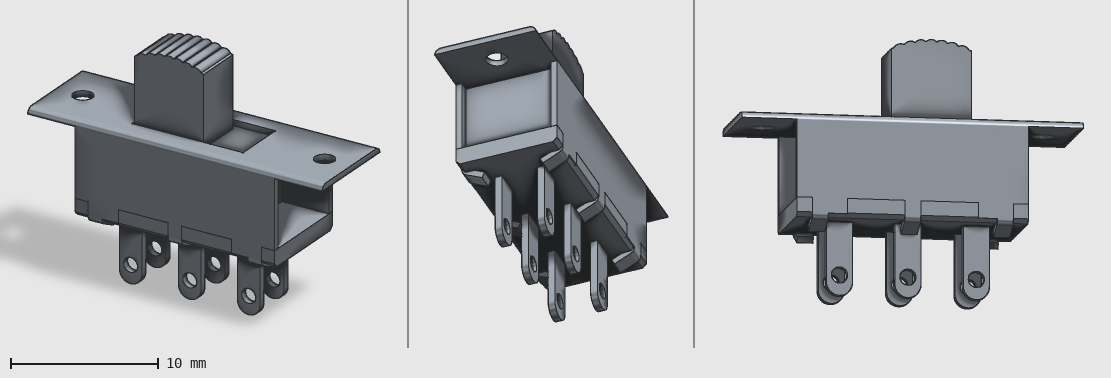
import cadquery as cq
import math


sheet = 0.45
bend_radius = 0.5
plate_length = 23.45
width = 7.4
mount_hole_dia = 1.5
mount_hole_pitch = 19.25
slot_length = 8.85
slot_width = 4.15

housing_length = 15.9
base_top = -5.8
base_bottom = -7.1
base_chamfer = 0.3

tongue_bottom = -6.85
end_tongue_outer = 6.9
end_tongue_inner = 4.5
foot_width = 1.1
foot_slope = math.radians(25)
foot_reach = 1.49

slider_x = -1.6
carrier_length = 11.6
carrier_width = 6.4
carrier_top = -0.58
knob_length = 5.5
knob_width = 3.75
knob_top = 5.65
crown_radius = 6.8
rib_count = 7
rib_pitch = 0.745
rib_width = 0.675
rib_height = 0.14

terminal_width = 1.8
terminal_thickness = 0.5
overall_height = 17.77
terminal_bottom = knob_top - overall_height
terminal_hole_dia = 1.1
terminal_hole_height = 1.4
terminal_pitch_x = 4.7
terminal_row_y = 1.55


def block(x_min, x_max, y_min, y_max, z_min, z_max):
    """Box given by its limits along each axis."""
    return cq.Workplane("XY").box(
        x_max - x_min, y_max - y_min, z_max - z_min, centered=False
    ).translate((x_min, y_min, z_min))


def rounded_bar(length, z_min):
    """Full-width bar below Z = 0 with both long top edges rounded to the bend radius."""
    bar = block(-length / 2, length / 2, -width / 2, width / 2, z_min, 0)
    return bar.edges("|X and >Z").fillet(bend_radius)


def make_foot(x_center):
    """Foot on the -Y side: the sheet bends inward and slopes down beneath the base."""
    bend_angle = math.pi / 2 - foot_slope
    inner_radius = bend_radius - sheet
    outer_y = -width / 2
    center_y = outer_y + bend_radius

    def on_bend(radius, angle):
        return (center_y - radius * math.cos(angle), tongue_bottom - radius * math.sin(angle))

    outer_end = on_bend(bend_radius, bend_angle)
    tip_y = outer_y + foot_reach
    outer_tip = (tip_y, outer_end[1] - (tip_y - outer_end[0]) * math.tan(foot_slope))
    inner_tip = (
        outer_tip[0] + sheet * math.sin(foot_slope),
        outer_tip[1] + sheet * math.cos(foot_slope),
    )
    profile = (
        cq.Workplane("YZ", origin=(x_center - foot_width / 2, 0, 0))
        .moveTo(*on_bend(bend_radius, 0))
        .threePointArc(on_bend(bend_radius, bend_angle / 2), outer_end)
        .lineTo(*outer_tip)
        .lineTo(*inner_tip)
        .lineTo(*on_bend(inner_radius, bend_angle))
        .threePointArc(on_bend(inner_radius, bend_angle / 2), on_bend(inner_radius, 0))
        .close()
    )
    return profile.extrude(foot_width)


def make_side():
    """Bracket side wall on the -Y side, with its tongues and feet."""
    y_min = -width / 2
    y_max = y_min + sheet
    end_foot_x = end_tongue_outer - foot_width / 2
    tongues = [
        (-end_tongue_outer, -end_tongue_inner),
        (-foot_width / 2, foot_width / 2),
        (end_tongue_inner, end_tongue_outer),
    ]
    wall = rounded_bar(housing_length, base_top)
    wall = wall.intersect(block(-housing_length / 2, housing_length / 2, y_min, y_max, base_top, 0))
    for x_min, x_max in tongues:
        wall = wall.union(block(x_min, x_max, y_min, y_max, tongue_bottom, base_top))
    for x_center in (-end_foot_x, 0, end_foot_x):
        wall = wall.union(make_foot(x_center))
    return wall


def make_bracket():
    """Plate with mounting holes and knob slot, and the two side walls bent down from it."""
    plate = rounded_bar(plate_length, -2 * sheet).cut(
        block(-plate_length / 2, plate_length / 2, -width / 2, width / 2, -2 * sheet, -sheet)
    )
    side = make_side()
    shell = plate.union(side).union(side.mirror("XZ"))
    mount_holes = (
        cq.Workplane("XY")
        .pushPoints([(-mount_hole_pitch / 2, 0), (mount_hole_pitch / 2, 0)])
        .circle(mount_hole_dia / 2)
        .extrude(-sheet)
    )
    slot = block(-slot_length / 2, slot_length / 2, -slot_width / 2, slot_width / 2, -sheet, 0)
    return shell.cut(mount_holes).cut(slot)


def make_base(bracket):
    """Base slab with chamfered lower long edges, recessed where the bracket tongues and feet fit."""
    slab = block(-housing_length / 2, housing_length / 2, -width / 2, width / 2, base_bottom, base_top)
    return slab.edges("|X and <Z").chamfer(base_chamfer).cut(bracket)


def make_slider():
    """Carrier block resting on the base, with a crowned knob ribbed across its top."""
    carrier = block(
        -carrier_length / 2, carrier_length / 2, -carrier_width / 2, carrier_width / 2, base_top, carrier_top
    )

    crown_center = knob_top - rib_height - math.sqrt(crown_radius**2 - (rib_width / 2) ** 2)

    def crown(x):
        return (x, crown_center + math.sqrt(crown_radius**2 - x**2))

    half = knob_length / 2
    outline = cq.Workplane("XZ", origin=(0, knob_width / 2, 0))
    outline = outline.moveTo(-half, carrier_top).lineTo(*crown(-half))
    for i in range(rib_count):
        middle = (i - (rib_count - 1) / 2) * rib_pitch
        start = crown(middle - rib_width / 2)
        end = crown(middle + rib_width / 2)
        crest = (middle, (start[1] + end[1]) / 2 + rib_height)
        outline = outline.lineTo(*start).threePointArc(crest, end)
    outline = outline.lineTo(*crown(half)).lineTo(half, carrier_top).close()
    knob = outline.extrude(knob_width)
    return carrier.union(knob).translate((slider_x, 0, 0))


def make_terminal(x, y):
    """Flat solder lug hanging from the base, with a rounded end and a wire hole."""
    half = terminal_width / 2
    back = (x, y + terminal_thickness / 2, 0)
    round_center = terminal_bottom + half
    lug = (
        cq.Workplane("XZ", origin=back)
        .moveTo(-half, base_bottom)
        .lineTo(-half, round_center)
        .threePointArc((0, terminal_bottom), (half, round_center))
        .lineTo(half, base_bottom)
        .close()
        .extrude(terminal_thickness)
    )
    hole = (
        cq.Workplane("XZ", origin=back)
        .center(0, terminal_bottom + terminal_hole_height)
        .circle(terminal_hole_dia / 2)
        .extrude(terminal_thickness)
    )
    return lug.cut(hole)


bracket = make_bracket()
base = make_base(bracket)
slider = make_slider()
terminals = [
    make_terminal(column * terminal_pitch_x, row * terminal_row_y)
    for column in (-1, 0, 1)
    for row in (-1, 1)
]

result = cq.Compound.makeCompound(
    [bracket.val(), base.val(), slider.val(), *[terminal.val() for terminal in terminals]]
)